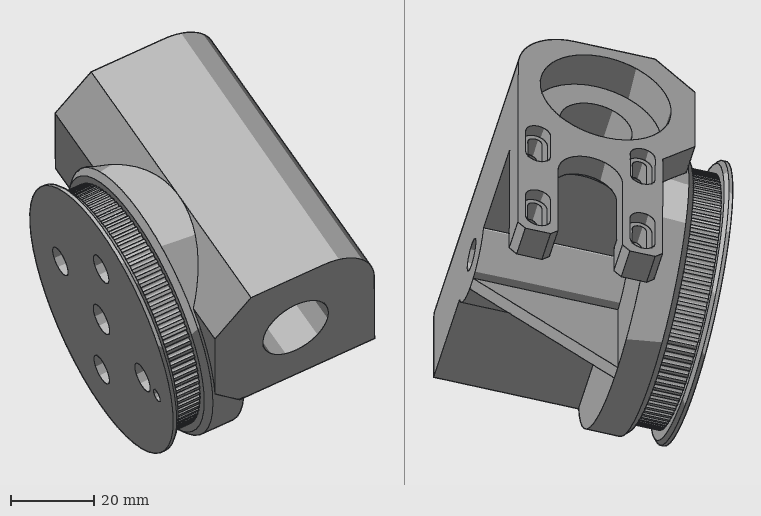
import cadquery as cq
import math

TILT_ABOUT_Y = -0.37
TILT_ABOUT_Z = -0.2

plate_thickness = 8.0
leg_width = 10.0
leg_gap = 16.0
plate_width = 2 * leg_width + leg_gap
plate_mid_y = -plate_width / 2
arch_radius = leg_gap / 2
arch_center_z = 26.4
foot_chamfer = 1.85

slot_spacing = 26.0
slot_travel = 8.0
slot_mid_z = 22.4
slot_width = 3.55
slot_head_width = 6.2
slot_head_depth = 3.0
boss_recess_radius = 11.0
boss_recess_depth = 2.5

hub_radius = 35.0
axis_z = 45.0
axis_bore_diameter = 8.0

block_length = 78.0
block_top_z = axis_z + hub_radius
block_bottom_z = 41.35
block_lower_chamfer = 8.0
block_upper_chamfer = 10.0
block_back_radius = 14.0
block_front_y = -(plate_width + block_lower_chamfer)
chamfer_foot_z = 40.1
axis_x = block_length - hub_radius

worm_bore_y = -21.7
worm_bore_z = 60.0
worm_bore_diameter = 18.0
bearing_diameter = 32.5
bearing_depth = 9.0

hub_back_y = -plate_width
hub_root_y = block_front_y + block_upper_chamfer
hub_overhang = 2.2
hub_front_y = block_front_y - hub_overhang
hub_chamfer = 1.5
boss_radius = 11.7
web_thickness = 3.2

tooth_count = 100
tooth_tip_radius = 31.55
tooth_groove_radius = 0.6
belt_width = 7.5
flange_cone = 1.0
flange_rim = 1.0
flange_back_y = hub_front_y - belt_width
pulley_front_y = flange_back_y - flange_cone - flange_rim

screw_circle_radius = 20.0
screw_diameter = 4.4
screw_head_diameter = 7.5
screw_head_depth = 4.0
pin_diameter = 3.2
pin_offset_x = 27.0
pin_offset_z = 0.9


def cylinder_along_y(radius, start_y, end_y, x=axis_x, z=axis_z):
    """Cylinder that runs from start_y forward (toward -Y) to end_y."""
    return cq.Workplane("XZ", origin=(x, start_y, z)).circle(radius).extrude(start_y - end_y)


def cylinder_along_x(radius, y, z, length):
    """Cylinder that runs from X = 0 toward +X."""
    return cq.Workplane("YZ").center(y, z).circle(radius).extrude(length)


def upright_slot(y, z, width, start_x, depth):
    """Vertical slot centred on (y, z), with round ends whose centres are slot_travel apart."""
    return (
        cq.Workplane("YZ", origin=(start_x, y, z))
        .slot2D(slot_travel + width, width, angle=90)
        .extrude(depth)
    )


def make_plate():
    plate = (
        cq.Workplane("YZ")
        .moveTo(0, 0)
        .lineTo(0, worm_bore_z)
        .lineTo(block_front_y, worm_bore_z)
        .lineTo(block_front_y, chamfer_foot_z + block_lower_chamfer)
        .lineTo(-plate_width, chamfer_foot_z)
        .lineTo(-plate_width, 0)
        .lineTo(-plate_width + leg_width, 0)
        .lineTo(-plate_width + leg_width, arch_center_z)
        .threePointArc((plate_mid_y, arch_center_z + arch_radius), (-leg_width, arch_center_z))
        .lineTo(-leg_width, 0)
        .close()
        .extrude(plate_thickness)
    )
    return plate.faces("<Z").edges("|X").chamfer(foot_chamfer)


def make_block():
    lower_chamfer_y = -plate_width - (block_bottom_z - chamfer_foot_z)
    return (
        cq.Workplane("YZ")
        .moveTo(0, block_bottom_z)
        .lineTo(0, block_top_z - block_back_radius)
        .radiusArc((-block_back_radius, block_top_z), -block_back_radius)
        .lineTo(block_front_y + block_upper_chamfer, block_top_z)
        .lineTo(block_front_y, block_top_z - block_upper_chamfer)
        .lineTo(block_front_y, chamfer_foot_z + block_lower_chamfer)
        .lineTo(lower_chamfer_y, block_bottom_z)
        .close()
        .extrude(block_length)
    )


def make_hub():
    """Chamfered disc with a rear boss; above the block's underside the disc reaches further back."""
    hub = cylinder_along_y(hub_radius, hub_root_y, hub_front_y).faces("<Y").chamfer(hub_chamfer)
    below_block = (
        cq.Workplane("XY", origin=(axis_x, hub_back_y, 0))
        .box(2 * hub_radius, hub_root_y - hub_back_y, block_bottom_z, centered=(True, False, False))
    )
    rear_boss = cylinder_along_y(boss_radius, 0, hub_back_y)
    return hub.cut(below_block).union(rear_boss)


def make_web():
    """Tapered web from the back of the rear boss down to the lower edge of the hub, rooted in the boss."""
    root_z = axis_z - boss_radius / 2
    return (
        cq.Workplane("YZ", origin=(axis_x - web_thickness / 2, 0, 0))
        .moveTo(0, axis_z - boss_radius)
        .lineTo(hub_back_y, axis_z - hub_radius)
        .lineTo(hub_back_y, root_z)
        .lineTo(0, root_z)
        .close()
        .extrude(web_thickness)
    )


def cut_motor_fixing(body):
    for side in (-1, 1):
        slot_y = plate_mid_y + side * slot_spacing / 2
        for level in (-1, 1):
            slot_z = slot_mid_z + level * slot_spacing / 2
            body = body.cut(upright_slot(slot_y, slot_z, slot_width, 0, plate_thickness))
            body = body.cut(upright_slot(slot_y, slot_z, slot_head_width, 0, slot_head_depth))
    recess_start_x = plate_thickness - boss_recess_depth
    recess_width = 2 * boss_recess_radius
    return body.cut(upright_slot(plate_mid_y, slot_mid_z, recess_width, recess_start_x, boss_recess_depth))


def cut_worm_bore(body):
    bore = cylinder_along_x(worm_bore_diameter / 2, worm_bore_y, worm_bore_z, block_length)
    bearing_seat = cylinder_along_x(bearing_diameter / 2, worm_bore_y, worm_bore_z, bearing_depth)
    return body.cut(bore).cut(bearing_seat)


def make_housing():
    housing = make_block().union(make_plate()).union(make_hub()).union(make_web())
    housing = cut_motor_fixing(housing)
    housing = cut_worm_bore(housing)
    return housing.cut(cylinder_along_y(axis_bore_diameter / 2, 0, hub_front_y))


def cut_pulley_holes(pulley):
    pulley = pulley.cut(cylinder_along_y(axis_bore_diameter / 2, hub_front_y, pulley_front_y))
    head_floor_y = pulley_front_y + screw_head_depth
    for quarter in range(4):
        angle = quarter * math.pi / 2
        x = axis_x + screw_circle_radius * math.cos(angle)
        z = axis_z + screw_circle_radius * math.sin(angle)
        pulley = pulley.cut(cylinder_along_y(screw_diameter / 2, hub_front_y, pulley_front_y, x, z))
        pulley = pulley.cut(cylinder_along_y(screw_head_diameter / 2, head_floor_y, pulley_front_y, x, z))
    pin_x = axis_x + pin_offset_x
    pin_z = axis_z + pin_offset_z
    return pulley.cut(cylinder_along_y(pin_diameter / 2, hub_front_y, pulley_front_y, pin_x, pin_z))


def make_pulley():
    drum = cylinder_along_y(tooth_tip_radius, hub_front_y, flange_back_y)
    grooves = (
        cq.Workplane("XZ", origin=(axis_x, hub_front_y, axis_z))
        .polarArray(tooth_tip_radius, 0, 360, tooth_count)
        .circle(tooth_groove_radius)
        .extrude(belt_width)
    )
    flange = (
        cylinder_along_y(hub_radius, flange_back_y, pulley_front_y)
        .faces(">Y")
        .chamfer(flange_cone)
    )
    return cut_pulley_holes(drum.cut(grooves).union(flange))


def tilt(body):
    origin = (0, 0, 0)
    return body.rotate(origin, (0, 1, 0), TILT_ABOUT_Y).rotate(origin, (0, 0, 1), TILT_ABOUT_Z)


housing = tilt(make_housing())
pulley = tilt(make_pulley())

result = cq.Compound.makeCompound([housing.val(), pulley.val()])